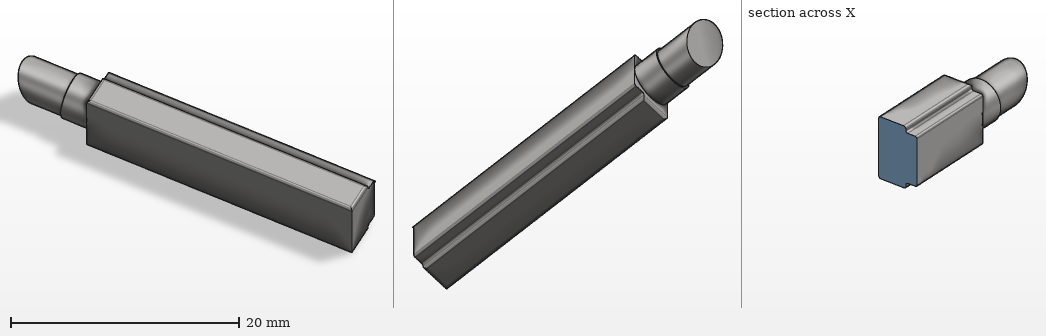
import cadquery as cq
import math

total_length = 33.77
width = 4.3
height = 6.3

body_start = 7.5
lug_length = 0.1
body_end = total_length - lug_length
ledge_width = 1.2
ledge_depth = 0.6
rib_edge_radius = 0.27
ledge_edge_radius = 0.2
inner_corner_radius = 0.2

collar_start = 4.93
collar_diameter = width
tip_diameter = 3.95
tip_cut_angle = 30.0

half_width = width / 2
half_height = height / 2
ledge_height = half_height - ledge_depth
rib_side = half_width - ledge_width


def make_body():
    """Extrude the stepped section and round its long and rib-end edges."""
    section = [
        (-half_width, -half_height),
        (rib_side, -half_height),
        (rib_side, -ledge_height),
        (half_width, -ledge_height),
        (half_width, ledge_height),
        (rib_side, ledge_height),
        (rib_side, half_height),
        (-half_width, half_height),
    ]
    body = (
        cq.Workplane("YZ", origin=(body_start, 0, 0))
        .polyline(section)
        .close()
        .extrude(body_end - body_start)
    )
    for side in (-1, 1):
        inner_corner = cq.selectors.NearestToPointSelector(
            ((body_start + body_end) / 2, rib_side, side * ledge_height)
        )
        body = body.edges(inner_corner).fillet(inner_corner_radius)
    body = body.faces(">Y").edges("|X").fillet(ledge_edge_radius)
    for rib_face in (">Z", "<Z"):
        body = body.faces(rib_face).edges().fillet(rib_edge_radius)
    return body


def make_cylinder(diameter, start, end):
    """Cylinder on the X axis between two stations."""
    return cq.Workplane("YZ", origin=(start, 0, 0)).circle(diameter / 2).extrude(end - start)


def make_tip():
    """Round tip, longest along its top, with a slanted flat end."""
    tip_radius = tip_diameter / 2
    cut_length = tip_diameter * math.tan(math.radians(tip_cut_angle))
    side_outline = (
        cq.Workplane("XZ")
        .polyline([
            (0, tip_radius),
            (collar_start, tip_radius),
            (collar_start, -tip_radius),
            (cut_length, -tip_radius),
        ])
        .close()
        .extrude(tip_radius, both=True)
    )
    return make_cylinder(tip_diameter, 0, collar_start).intersect(side_outline)


def make_end_lug():
    """Small quarter-round lug continuing the upper ledge's rounded edge."""
    lug_y = half_width - ledge_edge_radius
    lug_z = ledge_height - ledge_edge_radius
    arc_offset = ledge_edge_radius * math.sqrt(0.5)
    return (
        cq.Workplane("YZ", origin=(body_end, 0, 0))
        .moveTo(lug_y, lug_z)
        .lineTo(half_width, lug_z)
        .threePointArc((lug_y + arc_offset, lug_z + arc_offset), (lug_y, ledge_height))
        .close()
        .extrude(lug_length)
    )


result = (
    make_body()
    .union(make_cylinder(collar_diameter, collar_start, body_start))
    .union(make_tip())
    .union(make_end_lug())
)